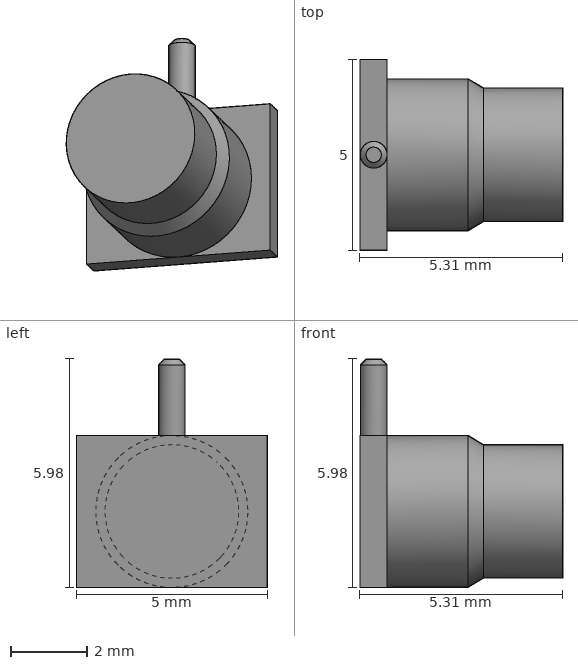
import cadquery as cq

total_length = 5.31
plate_width = 5.0
plate_height = 3.98
plate_thickness = 0.71

body_radius = plate_height / 2
nose_radius = 1.75
nose_length = 2.08
taper_length = 0.4
nose_start = total_length - nose_length
taper_start = nose_start - taper_length

pin_radius = 0.35
pin_height = 2.0
pin_chamfer = 0.15
pin_x = plate_thickness - pin_radius


def make_plate():
    """Flat rectangular flange from X = 0 to its thickness."""
    return cq.Workplane("XY").box(
        plate_thickness, plate_width, plate_height, centered=(False, True, True)
    )


def make_body():
    """Revolve the half profile: body cylinder, taper, nose cylinder."""
    return (
        cq.Workplane("XZ")
        .moveTo(0, 0)
        .lineTo(0, body_radius)
        .lineTo(taper_start, body_radius)
        .lineTo(nose_start, nose_radius)
        .lineTo(total_length, nose_radius)
        .lineTo(total_length, 0)
        .close()
        .revolve(360, (0, 0, 0), (1, 0, 0))
    )


def make_pin():
    """Pin rooted at the plate's mid-height, with a chamfered free end."""
    return (
        cq.Workplane("XY")
        .center(pin_x, 0)
        .circle(pin_radius)
        .extrude(plate_height / 2 + pin_height)
        .faces(">Z")
        .chamfer(pin_chamfer)
    )


result = make_plate().union(make_body()).union(make_pin())